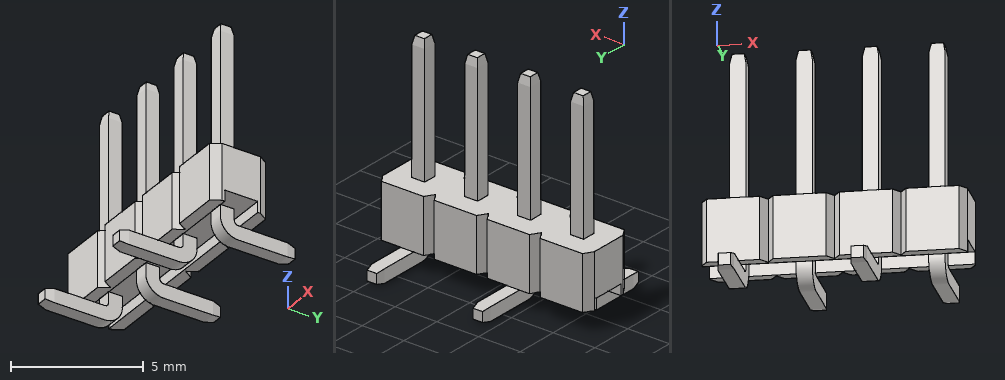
import cadquery as cq

pin_count = 4
length = 10.16
pitch = length / pin_count
housing_width = 2.54
housing_height = 2.5
corner_x = 0.25
corner_y = 0.41
channel_width = 1.48
channel_height = 0.49

pin_size = 0.63
pin_rise = 6.0
foot_span = 6.25
bend_inner_radius = 0.18
bend_outer_radius = bend_inner_radius + pin_size
tip_length = 0.39
tip_size = 0.47


def housing_cell(x):
    """One cell with bevelled vertical corners, standing on Z = 0."""
    half_x = pitch / 2
    half_y = housing_width / 2
    flat_x = half_x - corner_x
    flat_y = half_y - corner_y
    outline = [
        (half_x, -flat_y), (half_x, flat_y), (flat_x, half_y), (-flat_x, half_y),
        (-half_x, flat_y), (-half_x, -flat_y), (-flat_x, -half_y), (flat_x, -half_y),
    ]
    return cq.Workplane("XY").polyline(outline).close().extrude(housing_height).translate((x, 0, 0))


def tapered_tip(plane):
    """Square taper that starts at the origin of the plane and runs along its normal."""
    return (
        cq.Workplane(plane).rect(pin_size, pin_size)
        .workplane(offset=tip_length).rect(tip_size, tip_size)
        .loft(combine=True)
    )


def pin(x, side):
    """Bent pin at x; its foot points to -Y for side -1 and to +Y for side +1."""
    half = pin_size / 2
    shank_top = housing_height + pin_rise - tip_length
    foot_end = foot_span / 2 - tip_length
    foot_z = -bend_inner_radius - half
    bend_y = half + bend_inner_radius

    wire = (
        cq.Workplane("YZ")
        .moveTo(half, shank_top)
        .lineTo(-half, shank_top)
        .lineTo(-half, 0)
        .radiusArc((-bend_y, -bend_inner_radius), bend_inner_radius)
        .lineTo(-foot_end, -bend_inner_radius)
        .lineTo(-foot_end, -bend_outer_radius)
        .lineTo(-bend_y, -bend_outer_radius)
        .radiusArc((half, 0), -bend_outer_radius)
        .close()
        .extrude(half, both=True)
    )
    top_tip = tapered_tip(cq.Plane((0, 0, shank_top), (1, 0, 0), (0, 0, 1)))
    foot_tip = tapered_tip(cq.Plane((0, -foot_end, foot_z), (1, 0, 0), (0, -1, 0)))
    bent = wire.union(top_tip).union(foot_tip)
    if side > 0:
        bent = bent.mirror("XZ")
    return bent.translate((x, 0, 0))


cell_centres = [(i + 0.5) * pitch - length / 2 for i in range(pin_count)]

housing = housing_cell(cell_centres[0])
for x in cell_centres[1:]:
    housing = housing.union(housing_cell(x))

channel = cq.Workplane("XY").box(length, channel_width, channel_height, centered=(True, True, False))
result = housing.cut(channel)

for i, x in enumerate(cell_centres):
    foot_side = -1 if i % 2 == 0 else 1
    result = result.union(pin(x, foot_side))